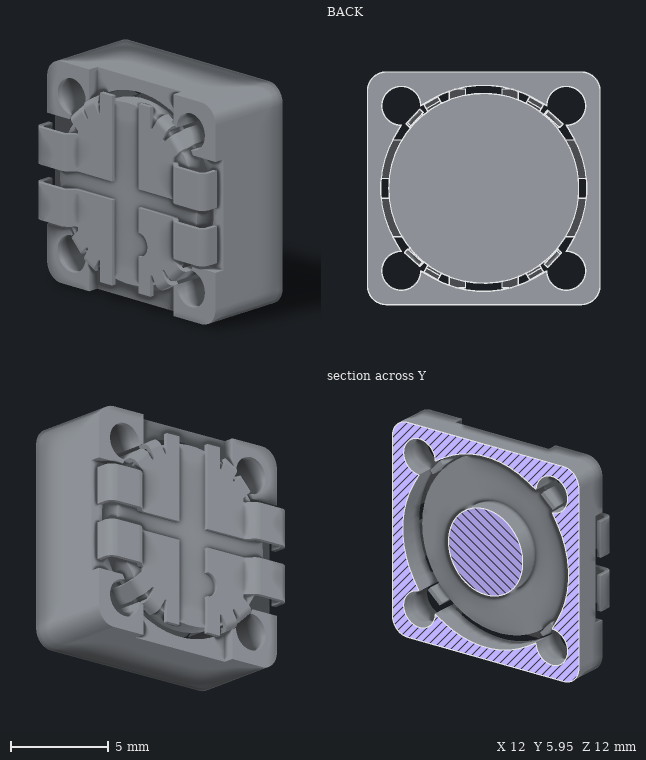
import cadquery as cq
import math


housing_side = 12.0
housing_depth = 5.0
housing_corner_radius = 1.0
half_side = housing_side / 2
bore_radius = 5.3
hole_radius = 1.0
hole_offset = 4.25
recess_width = 6.0
recess_depth = 0.6
bore_flat_angle = 30.0

core_radius = 4.9
core_proud = 0.2
flange_thickness = 1.1
hub_radius = 2.4

sheet = 0.25
plate_back = -core_proud
plate_front = plate_back - sheet
plate_gap_x = 0.94
plate_gap_z = 0.5

arm_outer_x = 1.79
arm_end_z = 5.12
relief_z = 3.96
relief_width = 0.13

foot_start_x = 3.37
foot_top_z = 2.5
plate_step_z = 2.71
foot_front = -0.95
foot_end = 0.12
foot_slope_angle = 45.0
foot_concave_radius = 0.15
foot_convex_radius = 0.43
foot_corner_radius = 0.49

tab_bend_radius = 0.4
short_tab_angle = 60.0
short_tab_bend = 4.88
short_tab_sides = (-0.31, 0.52)
short_tab_end = 0.26
long_tab_bend = 4.8
long_tab_end = 1.5
long_tab_skew_end = 0.66
long_tab_pair_a = {"angle": 43.2, "sides": (-0.62, 0.32), "skew": -0.1}
long_tab_pair_b = {"angle": 48.3, "sides": (-0.23, 0.79), "skew": 0.06}

slot_short_side_depth = 0.42
slot_long_side_depth = 0.34
slot_floor_point = (2.68, 3.49)

notch_radius = 0.65
notch_z = -foot_top_z


def polar(distance, angle):
    """Point at an angle in degrees around the origin."""
    return distance * math.cos(math.radians(angle)), distance * math.sin(math.radians(angle))


def tab_point(angle, radial, side):
    """X, Z point at a radial distance and a sideways distance toward the X axis."""
    along_x, along_z = polar(radial, angle)
    side_x, side_z = polar(side, angle - 90)
    return along_x + side_x, along_z + side_z


def make_housing():
    block = (
        cq.Workplane("XZ")
        .rect(housing_side, housing_side)
        .extrude(-housing_depth)
        .edges("|Y")
        .fillet(housing_corner_radius)
    )
    for size_x, size_z in ((housing_side, recess_width), (recess_width, housing_side)):
        block = block.cut(cq.Workplane("XZ").rect(size_x, size_z).extrude(-recess_depth))

    bore = cq.Workplane("XZ").circle(bore_radius).extrude(-housing_depth)
    flat_half_span = 45 - bore_flat_angle
    apex_radius = bore_radius / math.cos(math.radians(flat_half_span))
    for diagonal in (45, 135, 225, 315):
        corner_points = [
            (0, 0),
            polar(bore_radius, diagonal - flat_half_span),
            polar(apex_radius, diagonal),
            polar(bore_radius, diagonal + flat_half_span),
        ]
        bore = bore.union(cq.Workplane("XZ").polyline(corner_points).close().extrude(-housing_depth))
    block = block.cut(bore)

    holes = (
        cq.Workplane("XZ")
        .rect(2 * hole_offset, 2 * hole_offset, forConstruction=True)
        .vertices()
        .circle(hole_radius)
        .extrude(-housing_depth)
    )
    return block.cut(holes)


def make_core():
    """Spool with a flange at each end of its hub, flush with the back of the housing."""
    core_length = core_proud + housing_depth
    front = cq.Workplane("XZ", origin=(0, plate_back, 0))
    back = cq.Workplane("XZ", origin=(0, housing_depth, 0))
    hub = front.circle(hub_radius).extrude(-core_length)
    front_flange = front.circle(core_radius).extrude(-flange_thickness)
    back_flange = back.circle(core_radius).extrude(flange_thickness)
    return hub.union(front_flange).union(back_flange)


def make_plate(long_tab):
    """Flat plate in the +X +Z quadrant, up to the bend lines of both tabs and the foot."""
    long_angle = long_tab["angle"]
    long_near, long_far = long_tab["sides"]
    short_near, short_far = short_tab_sides
    return (
        cq.Workplane("XZ", origin=(0, plate_back, 0))
        .moveTo(plate_gap_x, plate_gap_z)
        .lineTo(plate_gap_x, arm_end_z)
        .lineTo(arm_outer_x, arm_end_z)
        .lineTo(arm_outer_x, relief_z)
        .lineTo(arm_outer_x + relief_width, relief_z)
        .lineTo(*tab_point(short_tab_angle, short_tab_bend, short_near))
        .lineTo(*tab_point(short_tab_angle, short_tab_bend, short_far))
        .lineTo(*tab_point(short_tab_angle, short_tab_bend - slot_short_side_depth, short_far))
        .threePointArc(
            slot_floor_point,
            tab_point(long_angle, long_tab_bend - slot_long_side_depth, long_near),
        )
        .lineTo(*tab_point(long_angle, long_tab_bend, long_near))
        .lineTo(*tab_point(long_angle, long_tab_bend, long_far))
        .lineTo(foot_start_x, plate_step_z)
        .lineTo(foot_start_x, plate_gap_z)
        .close()
        .extrude(sheet)
    )


def make_tab(angle, bend, sides, end, skew=0.0, skew_end=0.0):
    """Tab bent from the plate over the core rim, with its leg drifting sideways by the skew."""
    near, far = sides
    outer = bend + tab_bend_radius
    inner = outer - sheet
    inner_radius = inner - core_radius
    bend_end = plate_front + tab_bend_radius
    inner_bend_end = plate_back + inner_radius
    diagonal = math.sqrt(0.5)

    bent_part = (
        cq.Workplane("XY", origin=(0, 0, -far))
        .moveTo(bend, plate_front)
        .threePointArc(
            (bend + tab_bend_radius * diagonal, bend_end - tab_bend_radius * diagonal),
            (outer, bend_end),
        )
        .lineTo(inner, bend_end)
        .lineTo(inner, inner_bend_end)
        .threePointArc(
            (core_radius + inner_radius * diagonal, inner_bend_end - inner_radius * diagonal),
            (core_radius, plate_back),
        )
        .lineTo(bend, plate_back)
        .close()
        .extrude(far - near)
    )
    leg_near = [(bend_end, -near)]
    leg_far = [(bend_end, -far)]
    if skew:
        leg_near.append((skew_end, -near - skew))
        leg_far.append((skew_end, -far - skew))
    leg_near.append((end, -near - skew))
    leg_far.append((end, -far - skew))
    leg_outline = leg_near + leg_far[::-1]
    leg = cq.Workplane("YZ", origin=(inner, 0, 0)).polyline(leg_outline).close().extrude(sheet)
    return bent_part.union(leg).rotate((0, 0, 0), (0, 1, 0), -angle)


def make_foot():
    """Foot strip: a sloped step forward, a flat sole and an upturned end at the housing side."""
    slope = math.radians(foot_slope_angle)
    bend_rise = (foot_concave_radius + foot_convex_radius) * (1 - math.cos(slope))
    slope_rise = plate_front - foot_front - bend_rise
    bend_run = (foot_concave_radius + foot_convex_radius) * math.sin(slope)
    concave_center = (foot_start_x, plate_front - foot_concave_radius)
    convex_center = (
        foot_start_x + bend_run + slope_rise / math.tan(slope),
        foot_front + foot_convex_radius,
    )
    corner_center = (half_side - foot_corner_radius, foot_front + foot_corner_radius)

    def on_arc(center, radius, angle):
        offset_x, offset_y = polar(radius, angle)
        return center[0] + offset_x, center[1] + offset_y

    slope_up = 90 - foot_slope_angle
    slope_down = slope_up - 180
    mid_up = 90 - foot_slope_angle / 2
    mid_down = mid_up - 180
    concave_back_radius = foot_concave_radius + sheet
    convex_back_radius = foot_convex_radius - sheet
    corner_back_radius = foot_corner_radius - sheet
    return (
        cq.Workplane("XY", origin=(0, 0, plate_gap_z))
        .moveTo(foot_start_x, plate_front)
        .threePointArc(
            on_arc(concave_center, foot_concave_radius, mid_up),
            on_arc(concave_center, foot_concave_radius, slope_up),
        )
        .lineTo(*on_arc(convex_center, foot_convex_radius, slope_down))
        .threePointArc(
            on_arc(convex_center, foot_convex_radius, mid_down),
            on_arc(convex_center, foot_convex_radius, -90),
        )
        .lineTo(*on_arc(corner_center, foot_corner_radius, -90))
        .threePointArc(
            on_arc(corner_center, foot_corner_radius, -45),
            on_arc(corner_center, foot_corner_radius, 0),
        )
        .lineTo(half_side, foot_end)
        .lineTo(half_side - sheet, foot_end)
        .lineTo(*on_arc(corner_center, corner_back_radius, 0))
        .threePointArc(
            on_arc(corner_center, corner_back_radius, -45),
            on_arc(corner_center, corner_back_radius, -90),
        )
        .lineTo(*on_arc(convex_center, convex_back_radius, -90))
        .threePointArc(
            on_arc(convex_center, convex_back_radius, mid_down),
            on_arc(convex_center, convex_back_radius, slope_down),
        )
        .lineTo(*on_arc(concave_center, concave_back_radius, slope_up))
        .threePointArc(
            on_arc(concave_center, concave_back_radius, mid_up),
            (foot_start_x, plate_back),
        )
        .close()
        .extrude(foot_top_z - plate_gap_z)
    )


def make_terminal(x_sign, z_sign):
    """One terminal, built in the +X +Z quadrant and mirrored into its own quadrant."""
    long_tab = long_tab_pair_a if x_sign == z_sign else long_tab_pair_b
    short_tab = make_tab(short_tab_angle, short_tab_bend, short_tab_sides, short_tab_end)
    long_tab_body = make_tab(
        long_tab["angle"],
        long_tab_bend,
        long_tab["sides"],
        long_tab_end,
        long_tab["skew"],
        long_tab_skew_end,
    )
    terminal = make_plate(long_tab).union(short_tab).union(long_tab_body).union(make_foot())
    if x_sign < 0:
        terminal = terminal.mirror("YZ")
    if z_sign < 0:
        terminal = terminal.mirror("XY")
    return terminal


def cut_notch(terminal):
    notch = (
        cq.Workplane("XZ", origin=(0, plate_back, 0))
        .center(plate_gap_x, notch_z)
        .circle(notch_radius)
        .extrude(sheet)
    )
    return terminal.cut(notch)


housing = make_housing()
core = make_core()

terminals = []
for x_sign in (1, -1):
    for z_sign in (1, -1):
        terminal = make_terminal(x_sign, z_sign)
        if x_sign > 0 and z_sign < 0:
            terminal = cut_notch(terminal)
        terminals.append(terminal)

result = cq.Compound.makeCompound(
    [housing.solids().val(), core.solids().val(), *[terminal.solids().val() for terminal in terminals]]
)